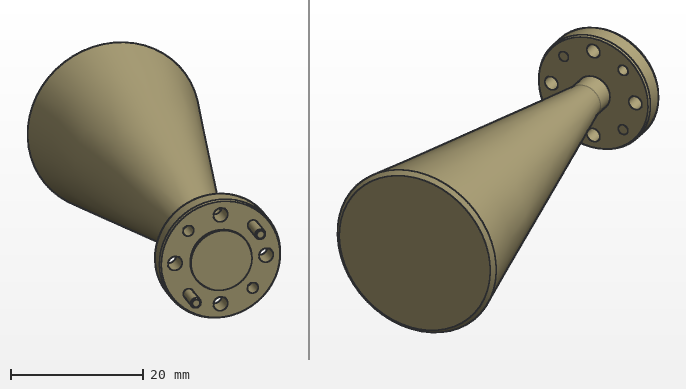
import cadquery as cq
import math

TOTAL_LENGTH = 67.4
MOUTH_CHAMFER = 0.7
NECK_START = 56.1
FLANGE_FRONT = 59.35
FLANGE_THICKNESS = 3.5
BOSS_HEIGHT = 0.55

MOUTH_DIAMETER = 27.0
MOUTH_RADIUS = MOUTH_DIAMETER / 2
NECK_RADIUS = 2.8
FLANGE_RADIUS = 9.5
BOSS_RADIUS = 4.8
FLANGE_CHAMFER_LENGTH = 0.4
FLANGE_CHAMFER_DEPTH = 0.2

PITCH_RADIUS = 7.15
SCREW_HOLE_DIAMETER = 2.2
DOWEL_HOLE_DIAMETER = 1.7
PIN_DIAMETER = 1.6
PIN_CHAMFER = 0.2
SCREW_ANGLES = [0, 90, 180, 270]
PIN_ANGLES = [45, 225]
DOWEL_ANGLES = [135, 315]

FLANGE_BACK = FLANGE_FRONT + FLANGE_THICKNESS
BOSS_END = FLANGE_BACK + BOSS_HEIGHT


def pitch_point(angle):
    """(Y, Z) on the pitch circle, with the angle measured from +Y toward +Z."""
    theta = math.radians(angle)
    return PITCH_RADIUS * math.cos(theta), PITCH_RADIUS * math.sin(theta)


def flange_cylinders(diameter, angles):
    """Cylinders through the flange thickness, centred on the pitch circle."""
    return (
        cq.Workplane("YZ", origin=(FLANGE_FRONT, 0, 0))
        .pushPoints([pitch_point(angle) for angle in angles])
        .circle(diameter / 2)
        .extrude(FLANGE_THICKNESS)
    )


def make_horn():
    """Solid cone, neck, flange and rear boss turned about X, then drilled."""
    flange_face_radius = FLANGE_RADIUS - FLANGE_CHAMFER_DEPTH
    profile = [
        (0, 0),
        (0, MOUTH_RADIUS - MOUTH_CHAMFER),
        (MOUTH_CHAMFER, MOUTH_RADIUS),
        (NECK_START, NECK_RADIUS),
        (FLANGE_FRONT, NECK_RADIUS),
        (FLANGE_FRONT, flange_face_radius),
        (FLANGE_FRONT + FLANGE_CHAMFER_LENGTH, FLANGE_RADIUS),
        (FLANGE_BACK - FLANGE_CHAMFER_LENGTH, FLANGE_RADIUS),
        (FLANGE_BACK, flange_face_radius),
        (FLANGE_BACK, BOSS_RADIUS),
        (BOSS_END, BOSS_RADIUS),
        (BOSS_END, 0),
    ]
    body = cq.Workplane("XZ").polyline(profile).close().revolve(360, (0, 0, 0), (1, 0, 0))
    body = body.cut(flange_cylinders(SCREW_HOLE_DIAMETER, SCREW_ANGLES))
    body = body.cut(flange_cylinders(DOWEL_HOLE_DIAMETER, DOWEL_ANGLES))
    return body.cut(flange_cylinders(PIN_DIAMETER, PIN_ANGLES))


def make_pin(angle):
    """Alignment pin, flush with the flange front and chamfered at its free end."""
    y, z = pitch_point(angle)
    return (
        cq.Workplane("YZ", origin=(FLANGE_FRONT, y, z))
        .circle(PIN_DIAMETER / 2)
        .extrude(TOTAL_LENGTH - FLANGE_FRONT)
        .faces(">X")
        .chamfer(PIN_CHAMFER)
    )


horn = make_horn()
pins = [make_pin(angle) for angle in PIN_ANGLES]

result = cq.Compound.makeCompound([horn.val(), *[pin.val() for pin in pins]])